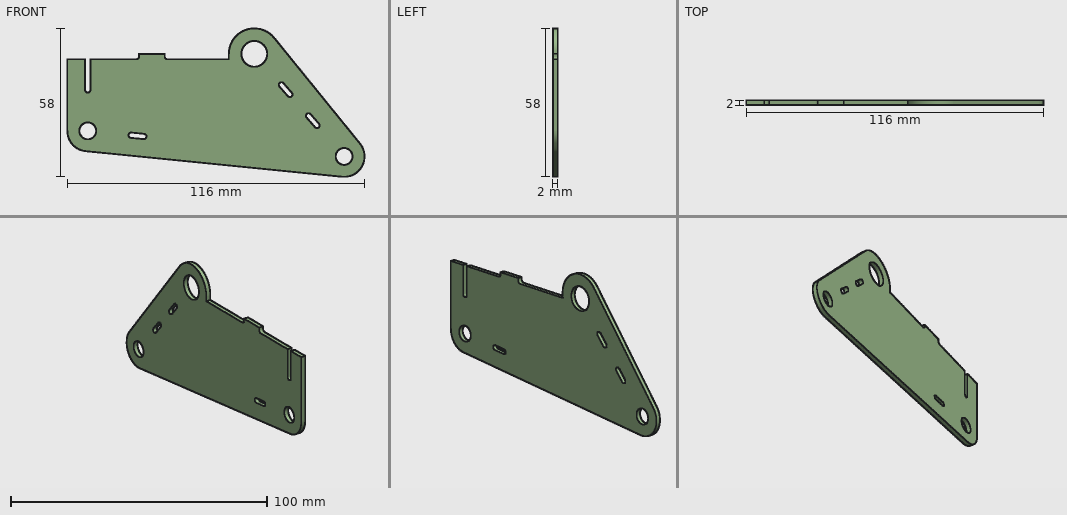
import cadquery as cq
import math

thickness = 2.0
corner_radius = 8.0
lug_radius = 10.0
left_pivot = (0, 0)
right_pivot = (116 - 2 * corner_radius, -10.0)
lug_pivot = (65.0, 30.0)
pivot_hole_diameter = 6.5
lug_hole_diameter = 10.0

top_edge = 28.0
tab_left = 20.0
tab_right = 30.0
tab_height = 2.1
tab_fillet = 1.0

notch_width = 2.0
notch_depth = 13.0
slot_width = 2.0
slot_length = 7.0
bottom_slot_distance = 19.5
side_slot_distance = 18.6


def direction_degrees(start, end):
    """Angle of the line from start to end, above +X."""
    return math.degrees(math.atan2(end[1] - start[1], end[0] - start[0]))


def on_circle(center, radius, degrees):
    angle = math.radians(degrees)
    return (center[0] + radius * math.cos(angle), center[1] + radius * math.sin(angle))


def front_sketch():
    """Workplane on the mid-plane of the plate."""
    return cq.Workplane("XZ")


def through_cut(sketch):
    return sketch.extrude(thickness, both=True)


def hole(center, diameter):
    return through_cut(front_sketch().center(*center).circle(diameter / 2))


def slot(start, end, distance):
    """Slot centered on the line from start to end, at a distance from start."""
    angle = direction_degrees(start, end)
    center = on_circle(start, distance, angle)
    return through_cut(front_sketch().center(*center).slot2D(slot_length, slot_width, angle))


def plate():
    """Outline whose straight sides are tangent to the arcs around the pivots."""
    bottom_normal = direction_degrees(left_pivot, right_pivot) - 90
    pivot_distance = math.dist(lug_pivot, right_pivot)
    taper = math.degrees(math.asin((lug_radius - corner_radius) / pivot_distance))
    side_normal = direction_degrees(lug_pivot, right_pivot) + 90 - taper
    left_middle = (bottom_normal - 180) / 2
    right_middle = (bottom_normal + side_normal) / 2
    lug_middle = (side_normal + 180) / 2
    left_side = left_pivot[0] - corner_radius
    lug_left = lug_pivot[0] - lug_radius
    tab_top = top_edge + tab_height
    fillet_top = top_edge + tab_fillet
    outline = (
        front_sketch()
        .moveTo(left_side, top_edge)
        .lineTo(left_side, left_pivot[1])
        .threePointArc(
            on_circle(left_pivot, corner_radius, left_middle),
            on_circle(left_pivot, corner_radius, bottom_normal),
        )
        .lineTo(*on_circle(right_pivot, corner_radius, bottom_normal))
        .threePointArc(
            on_circle(right_pivot, corner_radius, right_middle),
            on_circle(right_pivot, corner_radius, side_normal),
        )
        .lineTo(*on_circle(lug_pivot, lug_radius, side_normal))
        .threePointArc(
            on_circle(lug_pivot, lug_radius, lug_middle),
            (lug_left, lug_pivot[1]),
        )
        .lineTo(lug_left, top_edge)
        .lineTo(tab_right + tab_fillet, top_edge)
        .radiusArc((tab_right, fillet_top), tab_fillet)
        .lineTo(tab_right, tab_top)
        .lineTo(tab_left, tab_top)
        .lineTo(tab_left, fillet_top)
        .radiusArc((tab_left - tab_fillet, top_edge), tab_fillet)
        .close()
    )
    return outline.extrude(thickness / 2, both=True)


def notch():
    """Round-ended notch running down from the top edge above the left pivot."""
    end_radius = notch_width / 2
    straight_end = top_edge - notch_depth + end_radius
    center_x = left_pivot[0]
    return through_cut(
        front_sketch()
        .moveTo(center_x - end_radius, top_edge)
        .lineTo(center_x - end_radius, straight_end)
        .threePointArc(
            (center_x, straight_end - end_radius),
            (center_x + end_radius, straight_end),
        )
        .lineTo(center_x + end_radius, top_edge)
        .close()
    )


result = plate().cut(notch())

for pivot in (left_pivot, right_pivot):
    result = result.cut(hole(pivot, pivot_hole_diameter))
result = result.cut(hole(lug_pivot, lug_hole_diameter))

result = result.cut(slot(left_pivot, right_pivot, bottom_slot_distance))
for start, end in ((lug_pivot, right_pivot), (right_pivot, lug_pivot)):
    result = result.cut(slot(start, end, side_slot_distance))